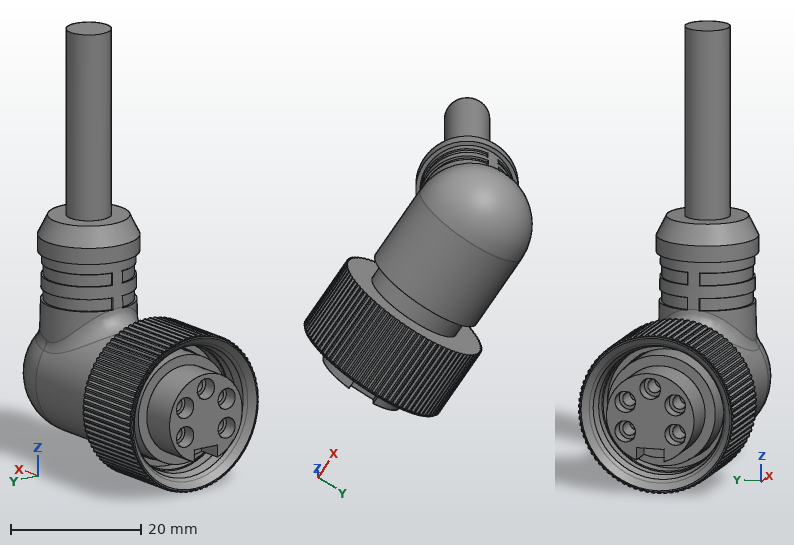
import cadquery as cq
import math

X_AXIS = ((0, 0, 0), (1, 0, 0))
Z_AXIS = ((0, 0, 0), (0, 1, 0))

elbow_radius = 9.45
elbow_start = -11.55
dome_center = 1.05

neck_radius = 7.8
flange_radius = 8.7
insert_radius = 7.05
insert_face = -29.6
insert_length = 5.75
flange_face = insert_face + insert_length
flange_length = 5.85
flange_back = flange_face + flange_length

socket_circle_radius = 4.65
socket_angles = (-30, 30, 90, 150, 210)
socket_diameter = 3.3
socket_depth = 2.25
contact_diameter = 2.2
contact_depth = 6.0
key_width = 4.45
key_floor = -4.75
key_length = 4.0

outlet_root_radius = 7.75
outlet_top_radius = 7.25
collar_radius = 7.9
collar_top_radius = 6.35
collar_bottom = 19.95
collar_taper_start = 22.55
outlet_top = 25.65
blend_radius = 3.0
cable_radius = 3.5
cable_top = 55.5

groove_floor_radius = 7.05
groove_height = 1.95
groove_bottoms = (12.2, 16.15)
bridge_width = 1.9

nut_radius = 12.5
nut_front = -26.85
nut_back = -14.8
knurl_count = 80
root_radius = 12.25
crest_half_angle = 0.62
lip_length = 0.3
mouth_radius = 12.0
bore_outer_radius = 11.0
bore_step_radius = 10.55
bore_inner_radius = 10.1
bore_end_radius = 9.9
mouth_depth = 1.0
step_depth = 1.6
taper_depth = 2.95
end_step_depth = 4.65
shoulder_depth = 6.85
flange_clearance = 0.2


def x_cylinder(radius, start, end):
    return cq.Workplane("YZ").workplane(offset=start).circle(radius).extrude(end - start)


def z_cylinder(radius, start, end):
    return cq.Workplane("XY").workplane(offset=start).circle(radius).extrude(end - start)


def make_elbow():
    """Barrel with a domed end, blended into the tapered upright outlet."""
    barrel = (
        cq.Workplane("XY")
        .moveTo(elbow_start, 0)
        .lineTo(elbow_start, elbow_radius)
        .lineTo(dome_center, elbow_radius)
        .radiusArc((dome_center + elbow_radius, 0), elbow_radius)
        .close()
        .revolve(360, *X_AXIS)
    )
    outlet = (
        cq.Workplane("XZ")
        .lineTo(outlet_root_radius, 0)
        .lineTo(outlet_top_radius, collar_bottom)
        .lineTo(0, collar_bottom)
        .close()
        .revolve(360, *Z_AXIS)
    )
    return barrel.union(outlet).edges("%BSPLINE").fillet(blend_radius)


def make_collar():
    """Collar with a tapered top at the end of the outlet."""
    return (
        cq.Workplane("XZ")
        .moveTo(0, collar_bottom)
        .lineTo(collar_radius, collar_bottom)
        .lineTo(collar_radius, collar_taper_start)
        .lineTo(collar_top_radius, outlet_top)
        .lineTo(0, outlet_top)
        .close()
        .revolve(360, *Z_AXIS)
    )


def make_grip_groove(bottom):
    """Ring cutter with the two bridges left out."""
    ring = z_cylinder(elbow_radius, bottom, bottom + groove_height)
    core = z_cylinder(groove_floor_radius, bottom, bottom + groove_height)
    bridge = (
        cq.Workplane("XY")
        .workplane(offset=bottom)
        .rect(2 * elbow_radius, bridge_width)
        .extrude(groove_height)
    )
    return ring.cut(core).cut(bridge)


def make_insert():
    """Socket insert with stepped contact holes and a keyway."""
    centers = [
        (
            socket_circle_radius * math.cos(math.radians(angle)),
            socket_circle_radius * math.sin(math.radians(angle)),
        )
        for angle in socket_angles
    ]
    face = cq.Workplane("YZ").workplane(offset=insert_face).pushPoints(centers)
    sockets = face.circle(socket_diameter / 2).extrude(socket_depth)
    contacts = face.circle(contact_diameter / 2).extrude(contact_depth)
    keyway = (
        cq.Workplane("XY")
        .box(key_length, key_width, insert_radius, centered=(False, True, False))
        .translate((insert_face, 0, key_floor - insert_radius))
    )
    insert = x_cylinder(insert_radius, insert_face, flange_face)
    flange = x_cylinder(flange_radius, flange_face, flange_back)
    neck = x_cylinder(neck_radius, flange_back, elbow_start)
    return insert.union(flange).union(neck).cut(keyway).cut(sockets).cut(contacts)


def make_connector():
    """Moulded connector body with its cable."""
    body = make_elbow().union(make_collar())
    for bottom in groove_bottoms:
        body = body.cut(make_grip_groove(bottom))
    cable = z_cylinder(cable_radius, outlet_top, cable_top)
    return body.union(cable).union(make_insert())


def make_knurl():
    """Disc with V grooves around its rim."""
    pitch = 360 / knurl_count
    corners = []
    for index in range(knurl_count):
        for radius, shift in (
            (root_radius, 0),
            (nut_radius, pitch / 2 - crest_half_angle),
            (nut_radius, pitch / 2 + crest_half_angle),
        ):
            angle = math.radians(index * pitch + shift)
            corners.append((radius * math.cos(angle), radius * math.sin(angle)))
    knurl_start = nut_front + lip_length
    return (
        cq.Workplane("YZ")
        .workplane(offset=knurl_start)
        .polyline(corners)
        .close()
        .extrude(nut_back - knurl_start)
    )


def make_nut():
    """Knurled coupling nut, turning on the neck and seated behind the flange."""
    seat_radius = flange_radius + flange_clearance
    bore = (
        cq.Workplane("XY")
        .moveTo(nut_front, 0)
        .lineTo(nut_front, mouth_radius)
        .lineTo(nut_front + mouth_depth, bore_outer_radius)
        .lineTo(nut_front + step_depth, bore_step_radius)
        .lineTo(nut_front + taper_depth, bore_inner_radius)
        .lineTo(nut_front + end_step_depth, bore_inner_radius)
        .lineTo(nut_front + end_step_depth, bore_end_radius)
        .lineTo(nut_front + shoulder_depth, bore_end_radius)
        .lineTo(nut_front + shoulder_depth, seat_radius)
        .lineTo(flange_back, seat_radius)
        .lineTo(flange_back, neck_radius)
        .lineTo(nut_back, neck_radius)
        .lineTo(nut_back, 0)
        .close()
        .revolve(360, *X_AXIS)
    )
    lip = x_cylinder(root_radius, nut_front, nut_front + lip_length)
    return make_knurl().union(lip).cut(bore)


connector = make_connector()
nut = make_nut()
result = cq.Compound.makeCompound([connector.val(), nut.val()])